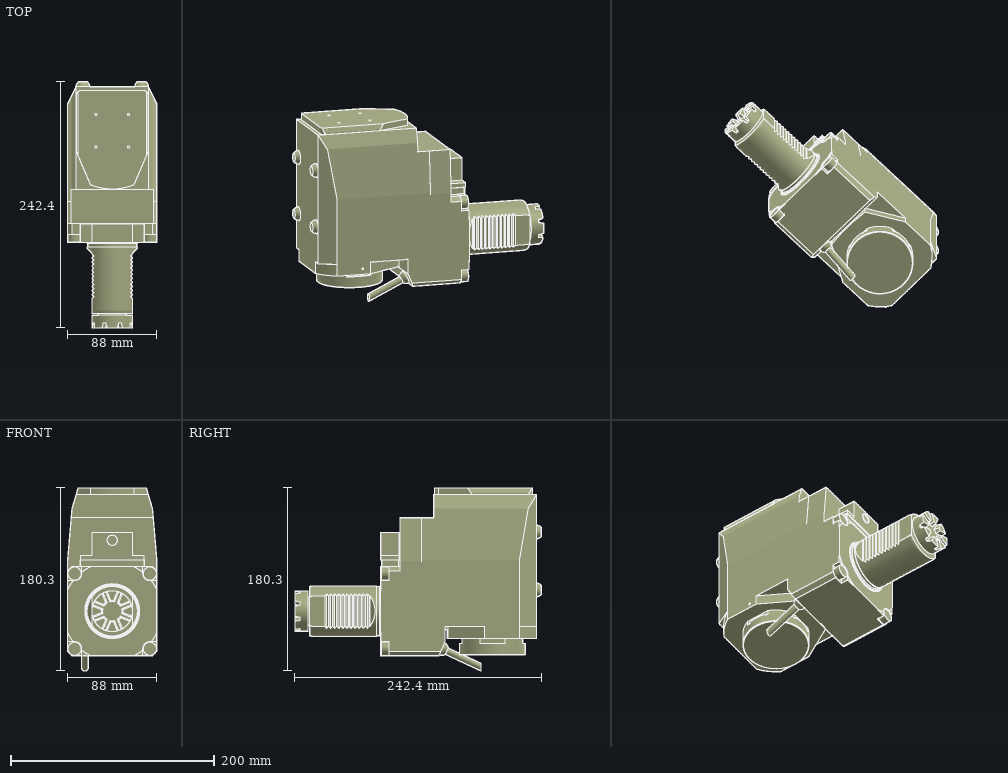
import math

import cadquery as cq


body_width = 88.0
half_width = body_width / 2
corner_chamfer = 4.5

plate_front_y = 19.0
housing_front_y = 40.3
step_y = 52.2
housing_back_y = 153.5
step_z = 92.0
step_half_width = 40.4
housing_crease_z = 50.0
plate_crease_z = 49.0
shoulder_z = 100.7
shoulder_half_width = 39.7
housing_top_z = 114.9
housing_top_half_width = 35.5
rear_chamfer_y = 136.5

spindle_y = 110.0
base_bottom_z = -26.9
base_relief_z = -15.2
base_radius = 51.4
base_front_y = 65.0
base_nose_side_y = 66.5
base_taper_y = 102.0
base_taper_angle = 30.0
base_taper_inset = (base_taper_y - base_nose_side_y) * math.tan(math.radians(base_taper_angle))
base_nose_half_width = half_width - base_taper_inset
gap_front_y = 63.5
gap_roof_z = -18.4
slope_top_z = -30.0
slope_foot_y = 57.2
side_hole_diameter = 1.7
side_hole_z = -21.4
small_hole_depth = 3.0

nose_diameter = 65.0
nose_bottom_z = -43.0
nose_flat_offset = 30.0
nose_flat_bottom_z = -31.7
nose_edge_chamfer = 0.6

cover_top_z = 121.32
cover_back_y = 149.6
cover_half_width = 35.2
cover_taper_y = 89.2
cover_tip_half_width = 21.3
cover_tip_side_y = 56.8
cover_front_y = 52.7
cover_corner_radius = 4.5
cover_hole_diameter = 2.1
cover_hole_offset = 16.0

flange_face_radius = 48.7
corner_step = 0.5
screw_offset = 37.0
screw_diameter = 13.0
screw_pocket_radius = 7.0
screw_pocket_depth = 8.2
screw_head_y = 0.7

tongue_half_width = 31.0
tongue_front_y = 0.8
tongue_top_z = 50.5
cheek_half_width = 31.6
cheek_front_y = 1.5
cheek_back_y = 17.5
block_front_y = 0.0
block_back_y = 18.4
block_shoulder_z = 54.9
block_half_width = 19.75
block_top_z = 77.6
block_hole_diameter = 10.0
block_hole_z = 69.7
block_hole_depth = 1.0

shank_diameter = 50.0
shank_radius = shank_diameter / 2
shank_length = 69.8
shank_end_chamfer_length = 2.6
shank_end_chamfer_height = 0.6
neck_diameter = 48.7
neck_length = 4.2
neck_bevel_radius = 25.3
neck_bevel_length = 1.0
seal_groove_radius = 26.2
seal_groove_depth = 1.5
seal_groove_chamfer = 0.8
flat_offset = 20.0
flat_runout_start = 5.5
groove_count = 11
groove_pitch = 4.0
groove_depth = 1.7
first_groove_distance = 13.1

coupling_diameter = 40.0
coupling_neck_diameter = 28.0
coupling_start = 71.2
coupling_end = 84.2
tooth_count = 8
tooth_height = 4.9
slot_root_width = 3.0
slot_tip_width = 5.4
hub_root_radius = 9.5
hub_tip_radius = 10.7

button_diameter = 14.0
button_top_diameter = 9.0
button_mid_diameter = 12.4
button_height = 4.7
button_x = 28.9
button_z_positions = (20.9, 77.9)

hose_diameter = 7.0
hose_x = -26.9
hose_ball_diameter = 13.0
hose_ball_y = 60.2
hose_ball_z = -37.1
hose_angle = 25.0
hose_lowest_z = -59.0


def box(x_range, y_range, z_range):
    """Axis-aligned box between the given limits."""
    size = [limits[1] - limits[0] for limits in (x_range, y_range, z_range)]
    corner = (x_range[0], y_range[0], z_range[0])
    return cq.Workplane("XY").box(*size, centered=False).translate(corner)


def rod(x, z, y_start, y_end, diameter):
    """Cylinder along Y from y_start to y_end."""
    plane = cq.Workplane("XZ", origin=(x, y_start, z))
    return plane.circle(diameter / 2).extrude(y_start - y_end)


def revolve_about_y(profile):
    """Closed outline of (radius, y) points revolved about the Y axis."""
    return cq.Workplane("XY").polyline(profile).close().revolve(360, (0, 0, 0), (0, 1, 0))


def extrude_along_y(points, y_start, y_end):
    """Closed XZ outline extruded from y_start to y_end."""
    return cq.Workplane("XZ", origin=(0, y_start, 0)).polyline(points).close().extrude(y_start - y_end)


def symmetric_section(right_side):
    """Complete a right-hand outline, listed from bottom to top, by mirroring it in X."""
    return right_side + [(-x, z) for x, z in reversed(right_side)]


def lower_corner_points():
    """Ends of the chamfer on the right-hand bottom corner."""
    return [(half_width - corner_chamfer, -half_width), (half_width, -half_width + corner_chamfer)]


def base_outline(z_low, z_high):
    """Spindle base planform: round at the back, tapered towards a shallow curved nose."""
    back_y = spindle_y + math.sqrt(base_radius**2 - half_width**2)
    return (
        cq.Workplane("XY", origin=(0, 0, z_low))
        .moveTo(-half_width, base_taper_y)
        .lineTo(-base_nose_half_width, base_nose_side_y)
        .threePointArc((0, base_front_y), (base_nose_half_width, base_nose_side_y))
        .lineTo(half_width, base_taper_y)
        .lineTo(half_width, back_y)
        .threePointArc((0, spindle_y + base_radius), (-half_width, back_y))
        .close()
        .extrude(z_high - z_low)
    )


def make_housing():
    right_side = lower_corner_points() + [
        (half_width, housing_crease_z),
        (shoulder_half_width, shoulder_z),
        (housing_top_half_width, housing_top_z),
    ]
    housing = extrude_along_y(symmetric_section(right_side), housing_front_y, housing_back_y)

    everywhere = (-body_width, body_width)
    housing = housing.cut(box(everywhere, (housing_front_y, step_y), (step_z, housing_top_z)))

    rear_corner = (
        cq.Workplane("XY", origin=(0, 0, -body_width))
        .moveTo(half_width, rear_chamfer_y)
        .lineTo(housing_top_half_width, housing_back_y)
        .lineTo(half_width, housing_back_y)
        .close()
        .extrude(body_width + housing_top_z)
    )
    housing = housing.cut(rear_corner).cut(rear_corner.mirror("YZ"))

    below = -body_width
    behind_gap = (gap_front_y, housing_back_y)
    housing = housing.cut(box(everywhere, behind_gap, (below, base_bottom_z)))
    gap = box(everywhere, (gap_front_y, base_nose_side_y), (below, gap_roof_z))
    housing = housing.cut(gap.cut(base_outline(below, gap_roof_z)))
    relief = box(everywhere, behind_gap, (below, base_relief_z)).cut(base_outline(below, base_relief_z))
    bridge = box((-base_nose_half_width, base_nose_half_width), (gap_front_y, base_nose_side_y),
                 (gap_roof_z, base_relief_z))
    housing = housing.cut(relief.cut(bridge))

    slope = (
        cq.Workplane("YZ", origin=(-half_width, 0, 0))
        .moveTo(gap_front_y, slope_top_z)
        .lineTo(slope_foot_y, -half_width)
        .lineTo(gap_front_y, -half_width)
        .close()
        .extrude(body_width)
    )
    housing = housing.cut(slope)

    side_hole = (
        cq.Workplane("YZ", origin=(-half_width, spindle_y, side_hole_z))
        .circle(side_hole_diameter / 2)
        .extrude(small_hole_depth)
    )
    return housing.cut(side_hole)


def make_front_plate():
    right_side = lower_corner_points() + [(half_width, plate_crease_z), (step_half_width, step_z)]
    return extrude_along_y(symmetric_section(right_side), plate_front_y, housing_front_y)


def make_spindle_nose():
    radius = nose_diameter / 2
    nose = (
        cq.Workplane("XY", origin=(0, spindle_y, nose_bottom_z))
        .circle(radius)
        .extrude(base_bottom_z - nose_bottom_z)
        .faces("<Z")
        .chamfer(nose_edge_chamfer)
    )
    flat_z = (nose_flat_bottom_z, base_bottom_z)
    flat = box((-radius, -nose_flat_offset), (spindle_y - radius, spindle_y + radius), flat_z)
    for angle in (0, 90, 180, 270):
        nose = nose.cut(flat.rotate((0, spindle_y, 0), (0, spindle_y, 1), angle))
    return nose


def make_cover():
    height = cover_top_z - housing_top_z
    cover = (
        cq.Workplane("XY", origin=(0, 0, housing_top_z))
        .moveTo(-cover_half_width, cover_back_y)
        .lineTo(-cover_half_width, cover_taper_y)
        .lineTo(-cover_tip_half_width, cover_tip_side_y)
        .threePointArc((0, cover_front_y), (cover_tip_half_width, cover_tip_side_y))
        .lineTo(cover_half_width, cover_taper_y)
        .lineTo(cover_half_width, cover_back_y)
        .close()
        .extrude(height)
        .edges("|Z and >Y")
        .fillet(cover_corner_radius)
    )
    side_slope = (shoulder_half_width - housing_top_half_width) / (housing_top_z - shoulder_z)
    top_half_width = housing_top_half_width - height * side_slope
    envelope = symmetric_section([(housing_top_half_width, housing_top_z), (top_half_width, cover_top_z)])
    cover = cover.intersect(extrude_along_y(envelope, cover_front_y, cover_back_y))
    holes = (
        cq.Workplane("XY", origin=(0, spindle_y, cover_top_z))
        .rect(2 * cover_hole_offset, 2 * cover_hole_offset, forConstruction=True)
        .vertices()
        .circle(cover_hole_diameter / 2)
        .extrude(-small_hole_depth)
    )
    return cover.cut(holes)


def make_flange():
    flange = (
        cq.Workplane("XZ")
        .rect(body_width, body_width)
        .extrude(-plate_front_y)
        .edges("|Y")
        .chamfer(corner_chamfer)
    )
    square = box((-half_width, half_width), (0, corner_step), (-half_width, half_width))
    flange = flange.cut(square.cut(rod(0, 0, 0, corner_step, 2 * flange_face_radius)))

    groove_profile = [
        (neck_bevel_radius, 0),
        (seal_groove_radius + seal_groove_chamfer, 0),
        (seal_groove_radius, seal_groove_chamfer),
        (seal_groove_radius, seal_groove_depth),
        (neck_bevel_radius, seal_groove_depth),
    ]
    flange = flange.cut(revolve_about_y(groove_profile))

    inner = screw_offset - screw_pocket_radius
    for x_sign in (-1, 1):
        for z_sign in (-1, 1):
            pocket = box((inner, half_width), (0, screw_pocket_depth), (inner, half_width))
            pocket = pocket.edges("|Y and <X and <Z").fillet(screw_pocket_radius)
            if x_sign < 0:
                pocket = pocket.mirror("YZ")
            if z_sign < 0:
                pocket = pocket.mirror("XY")
            flange = flange.cut(pocket)
            screw = rod(x_sign * screw_offset, z_sign * screw_offset,
                        screw_head_y, screw_pocket_depth, screw_diameter)
            flange = flange.union(screw)
    return flange


def make_locating_block():
    tongue_z = (half_width - corner_chamfer, tongue_top_z)
    inner = screw_offset - screw_pocket_radius
    tongue = box((-inner, inner), (tongue_front_y, plate_front_y), tongue_z)
    tongue = tongue.union(box((-tongue_half_width, tongue_half_width), (tongue_front_y, plate_front_y),
                              (half_width, tongue_top_z)))
    cheeks = box((-cheek_half_width, cheek_half_width), (cheek_front_y, cheek_back_y),
                 (half_width, tongue_top_z))
    block_y = (block_front_y, block_back_y)
    shoulder = box((-tongue_half_width, tongue_half_width), block_y, (tongue_top_z, block_shoulder_z))
    head = box((-block_half_width, block_half_width), block_y, (block_shoulder_z, block_top_z))
    hole = rod(0, block_hole_z, block_front_y, block_front_y + block_hole_depth, block_hole_diameter)
    return tongue.union(cheeks).union(shoulder).union(head).cut(hole)


def make_shank():
    shank_end_radius = shank_radius - shank_end_chamfer_height
    neck_radius = neck_diameter / 2
    profile = [
        (0, 0),
        (neck_bevel_radius, 0),
        (neck_radius, -neck_bevel_length),
        (neck_radius, -neck_length),
        (shank_radius, -neck_length),
        (shank_radius, -shank_length + shank_end_chamfer_length),
        (shank_end_radius, -shank_length),
        (0, -shank_length),
    ]
    shank = revolve_about_y(profile)

    runout = shank_radius - flat_offset
    flat = (
        cq.Workplane("XY", origin=(0, 0, -shank_radius))
        .moveTo(shank_radius, -flat_runout_start)
        .lineTo(flat_offset, -flat_runout_start - runout)
        .lineTo(flat_offset, -shank_length)
        .lineTo(shank_radius, -shank_length)
        .close()
        .extrude(shank_diameter)
    )
    for index in range(groove_count):
        groove_y = -first_groove_distance - index * groove_pitch
        groove = (
            cq.Workplane("XY", origin=(0, 0, -shank_radius))
            .moveTo(flat_offset, groove_y - groove_depth)
            .lineTo(flat_offset - groove_depth, groove_y)
            .lineTo(flat_offset, groove_y + groove_depth)
            .close()
            .extrude(shank_diameter)
        )
        flat = flat.union(groove)
    return shank.cut(flat).cut(flat.mirror("YZ"))


def make_coupling():
    coupling = rod(0, 0, -coupling_start, -coupling_end, coupling_diameter)
    neck = rod(0, 0, -shank_length, -coupling_start, coupling_neck_diameter)

    root_y = -coupling_end + tooth_height
    hub_profile = [
        (0, root_y),
        (hub_root_radius, root_y),
        (hub_tip_radius, -coupling_end),
        (0, -coupling_end),
    ]
    coupling = coupling.cut(revolve_about_y(hub_profile))

    slot = (
        cq.Workplane("XY")
        .moveTo(-slot_root_width / 2, root_y)
        .lineTo(slot_root_width / 2, root_y)
        .lineTo(slot_tip_width / 2, -coupling_end)
        .lineTo(-slot_tip_width / 2, -coupling_end)
        .close()
        .extrude(coupling_diameter)
    )
    step_angle = 360 / tooth_count
    for index in range(tooth_count):
        coupling = coupling.cut(slot.rotate((0, 0, 0), (0, 1, 0), (index + 0.5) * step_angle))
    return coupling.union(neck)


def make_button_screw(x, z):
    dome_middle = (button_mid_diameter / 2, button_height / 2)
    dome_top = (button_top_diameter / 2, button_height)
    screw = (
        cq.Workplane("XY")
        .lineTo(button_diameter / 2, 0)
        .threePointArc(dome_middle, dome_top)
        .lineTo(0, button_height)
        .close()
        .revolve(360, (0, 0, 0), (0, 1, 0))
    )
    return screw.translate((x, housing_back_y, z))


def make_hose():
    center = (hose_x, hose_ball_y, hose_ball_z)
    angle = math.radians(hose_angle)
    direction = (0, math.cos(angle), -math.sin(angle))
    hose_drop = hose_ball_z - hose_lowest_z - hose_diameter / 2 / math.cos(angle)
    hose_reach = hose_drop / math.tan(angle)
    end_y = hose_ball_y + hose_reach
    hose = (
        cq.Workplane(cq.Plane(origin=center, xDir=(1, 0, 0), normal=direction))
        .circle(hose_diameter / 2)
        .extrude(hose_reach / math.cos(angle) + hose_diameter)
    )
    hose = hose.cut(box((-half_width, half_width), (end_y, housing_back_y), (-body_width, hose_ball_z)))
    ball = cq.Workplane("XY").sphere(hose_ball_diameter / 2).translate(center)
    return hose.union(ball)


result = (
    make_housing()
    .union(make_front_plate())
    .union(make_spindle_nose())
    .union(make_cover())
    .union(make_flange())
    .union(make_locating_block())
    .union(make_shank())
    .union(make_coupling())
    .union(make_hose())
)
for button_z in button_z_positions:
    for side in (-1, 1):
        result = result.union(make_button_screw(side * button_x, button_z))